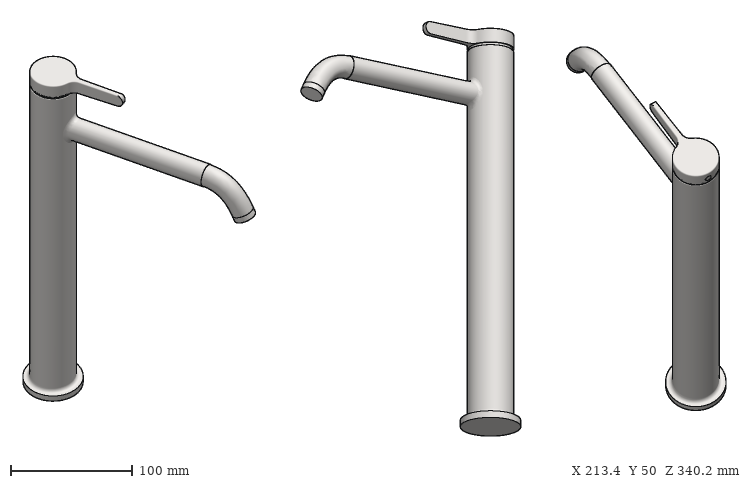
import cadquery as cq
import math


total_height = 340.2

column_radius = 19.5
column_top = 326.0
column_edge_fillet = 1.0
foot_diameter = 50.0
foot_radius = foot_diameter / 2
foot_height = 5.8
foot_fillet = 3.5

arm_radius = 10.0
arm_height = 285.5
arm_end = 144.0
arm_root_fillet = 4.0

outlet_radius = 9.5
outlet_end_x = 177.5
outlet_end_z = 260.3
outlet_tilt = math.radians(65)
outlet_start_pull = 15.5
outlet_end_pull = 17.7
aerator_length = 5.5
outlet_direction = (math.cos(outlet_tilt), -math.sin(outlet_tilt))

knob_radius = 19.5
knob_bottom = 328.0
knob_height = total_height - knob_bottom
handle_edge_fillet = 1.0
lever_end = 66.5
lever_root_width = 6.0
lever_tip_width = 4.8
lever_tip_height = 11.0
lever_corner_radius = 5.0
lever_blend_radius = 9.0

neck_radius = 18.5

plug_radius = 2.7
plug_depth = 3.5
plug_height = 333.0


def make_column():
    """Column with a filleted foot and the straight spout arm."""
    column = (
        cq.Workplane("XZ")
        .lineTo(foot_radius, 0)
        .lineTo(foot_radius, foot_height)
        .lineTo(column_radius + foot_fillet, foot_height)
        .radiusArc((column_radius, foot_height + foot_fillet), foot_fillet)
        .lineTo(column_radius, column_top)
        .lineTo(0, column_top)
        .close()
        .revolve(360, (0, 0, 0), (0, 1, 0))
        .faces(">Z")
        .edges()
        .fillet(column_edge_fillet)
    )
    arm = cq.Workplane("YZ").center(0, arm_height).circle(arm_radius).extrude(arm_end)
    arm_root = cq.selectors.BoxSelector(
        (column_radius / 2, -arm_radius, arm_height - arm_radius),
        (column_radius, arm_radius, arm_height + arm_radius),
    )
    return column.union(arm).edges(arm_root).fillet(arm_root_fillet)


def make_outlet():
    """Curved tube that leaves the arm along +X and turns down to the outlet tilt."""
    direction_x, direction_z = outlet_direction
    path = cq.Workplane("XZ").bezier(
        [
            (arm_end, arm_height),
            (arm_end + outlet_start_pull, arm_height),
            (outlet_end_x - outlet_end_pull * direction_x, outlet_end_z - outlet_end_pull * direction_z),
            (outlet_end_x, outlet_end_z),
        ]
    )
    return cq.Workplane("YZ", origin=(arm_end, 0, arm_height)).circle(outlet_radius).sweep(path)


def make_aerator():
    """Short cylinder on the end of the outlet."""
    direction_x, direction_z = outlet_direction
    end_plane = cq.Plane((outlet_end_x, 0, outlet_end_z), (0, 1, 0), (direction_x, 0, direction_z))
    return cq.Workplane(end_plane).circle(outlet_radius).extrude(aerator_length)


def make_neck():
    """Disc that fills the gap between the column and the knob."""
    return cq.Workplane("XY", origin=(0, 0, column_top)).circle(neck_radius).extrude(knob_bottom - column_top)


def make_knob():
    """Plain round blank of the handle's knob."""
    return cq.Workplane("XY", origin=(0, 0, knob_bottom)).circle(knob_radius).extrude(knob_height)


def make_plug():
    """Plug let into the back of the knob, its outer face flush with the round side."""
    pin = (
        cq.Workplane("YZ", origin=(-knob_radius, 0, plug_height))
        .circle(plug_radius)
        .extrude(plug_depth)
    )
    return pin.intersect(make_knob())


def make_handle(plug):
    """Knob and lever in one piece, with the recess for the plug."""
    lever = (
        cq.Workplane("XY", origin=(0, 0, knob_bottom))
        .moveTo(0, -lever_root_width / 2)
        .lineTo(lever_end, -lever_tip_width / 2)
        .lineTo(lever_end, lever_tip_width / 2)
        .lineTo(0, lever_root_width / 2)
        .close()
        .extrude(knob_height)
    )
    lever_root = cq.selectors.BoxSelector(
        (knob_radius / 2, -lever_root_width, knob_bottom + knob_height / 4),
        (knob_radius, lever_root_width, total_height - knob_height / 4),
    )
    handle = make_knob().union(lever).edges(lever_root).fillet(lever_blend_radius)
    handle = handle.faces(">Z").edges().fillet(handle_edge_fillet)
    side_outline = (
        cq.Workplane("XZ")
        .moveTo(-knob_radius, total_height)
        .lineTo(lever_end, total_height)
        .lineTo(lever_end, total_height - lever_tip_height)
        .lineTo(knob_radius, knob_bottom)
        .lineTo(-knob_radius, knob_bottom)
        .close()
        .extrude(knob_radius, both=True)
        .edges("|Y and >X")
        .fillet(lever_corner_radius)
    )
    return handle.intersect(side_outline).cut(plug)


column = make_column()
outlet = make_outlet()
aerator = make_aerator()
neck = make_neck()
plug = make_plug()
handle = make_handle(plug)

result = cq.Compound.makeCompound(
    [column.val(), outlet.val(), aerator.val(), neck.val(), handle.val(), plug.val()]
)